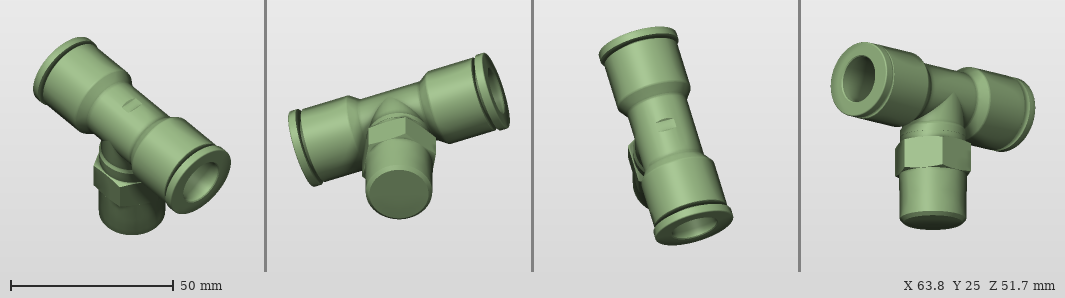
import cadquery as cq
import math


half_length = 31.9
waist_radius = 9.5
socket_radius = 11.75
socket_end_x = 28.0
socket_end_chamfer = 0.15
shoulder_outer_x = 13.13
shoulder_inner_x = 9.87
shoulder_fillet = 1.0
corner_reach = 0.1

collar_width = 25.0
collar_height = 23.2
collar_thickness = 2.5
collar_fillet = 0.4
neck_radius = 8.5

bore_radius = 7.2
bore_depth = half_length - shoulder_outer_x
bore_chamfer = 0.3

flat_depth = 0.46
flat_length = 3.0
flat_mouth_length = 4.06

branch_cone_top_z = -10.0
rim_radius = 10.2
rim_top_z = -10.95
rim_joint_z = -13.07
stem_radius = 10.1
hex_top_z = -15.0
hex_bottom_z = -25.0
hex_across_flats = 21.0
hex_chamfer_radius = 10.3
hex_chamfer_angle = 18.0
thread_top_radius = 10.48
thread_end_radius = 10.25
thread_chamfer_height = 1.1
thread_tip_radius = 9.1
branch_bottom_z = -39.95


def revolve_about_x(x_radius_points):
    """Turn an (x, radius) outline about the X axis."""
    return cq.Workplane("XY").polyline(x_radius_points).close().revolve(360, (0, 0, 0), (1, 0, 0))


def revolve_about_z(radius_z_points):
    """Turn a (radius, z) outline about the Z axis."""
    return cq.Workplane("XZ").polyline(radius_z_points).close().revolve(360, (0, 0, 0), (0, 1, 0))


def both_ends(shape):
    """A +X end shape together with its mirror image at the other end of the run."""
    return shape.union(shape.mirror("YZ"))


def make_run_body():
    """The waist and both sockets, without the collars."""
    right_half = [
        (shoulder_inner_x, waist_radius),
        (shoulder_outer_x, socket_radius),
        (socket_end_x, socket_radius),
        (socket_end_x, 0),
    ]
    left_half = [(-x, radius) for x, radius in reversed(right_half)]
    body = revolve_about_x(left_half + right_half)
    for corner_x in (-shoulder_outer_x, -shoulder_inner_x, shoulder_inner_x, shoulder_outer_x):
        around_corner = cq.selectors.BoxSelector(
            (corner_x - corner_reach, -socket_radius, -socket_radius),
            (corner_x + corner_reach, socket_radius, socket_radius),
        )
        body = body.edges("%CIRCLE").edges(around_corner).fillet(shoulder_fillet)
    return body.faces("<X or >X").edges().chamfer(socket_end_chamfer)


def make_collar():
    """The oval collar and its round neck at the +X end."""
    collar = (
        cq.Workplane("YZ")
        .workplane(offset=half_length - collar_thickness)
        .ellipse(collar_width / 2, collar_height / 2)
        .extrude(collar_thickness)
        .faces(">X")
        .edges()
        .fillet(collar_fillet)
    )
    neck = (
        cq.Workplane("YZ")
        .workplane(offset=socket_end_x)
        .circle(neck_radius)
        .extrude(half_length - collar_thickness - socket_end_x)
    )
    return collar.union(neck)


def make_bore():
    """Cutter for the +X tube bore and the chamfer at its mouth."""
    bottom_x = half_length - bore_depth
    mouth_radius = bore_radius + bore_chamfer
    outline = [
        (bottom_x, 0),
        (bottom_x, bore_radius),
        (half_length - bore_chamfer, bore_radius),
        (half_length, mouth_radius),
        (half_length, 0),
    ]
    return revolve_about_x(outline)


def make_flat():
    """Cutter for the pocket on top of the waist, with sloped ends."""
    floor_z = waist_radius - flat_depth
    outline = [
        (-flat_length / 2, floor_z),
        (flat_length / 2, floor_z),
        (flat_mouth_length / 2, waist_radius),
        (-flat_mouth_length / 2, waist_radius),
    ]
    return cq.Workplane("XZ").polyline(outline).close().extrude(waist_radius, both=True)


def make_stem():
    """The round branch between the waist and the hexagon."""
    outline = [
        (0, 0),
        (waist_radius, 0),
        (waist_radius, branch_cone_top_z),
        (rim_radius, rim_top_z),
        (rim_radius, rim_joint_z),
        (stem_radius, rim_joint_z),
        (stem_radius, hex_top_z),
        (0, hex_top_z),
    ]
    return revolve_about_z(outline)


def make_hexagon():
    """The hexagon, flats facing +Y and -Y, with its corners turned off at both ends."""
    corner_radius = hex_across_flats / math.sqrt(3)
    drop = (corner_radius - hex_chamfer_radius) * math.tan(math.radians(hex_chamfer_angle))
    prism = (
        cq.Workplane("XY")
        .workplane(offset=hex_bottom_z)
        .polygon(6, 2 * corner_radius)
        .extrude(hex_top_z - hex_bottom_z)
    )
    turned = [
        (0, hex_bottom_z),
        (hex_chamfer_radius, hex_bottom_z),
        (corner_radius, hex_bottom_z + drop),
        (corner_radius, hex_top_z - drop),
        (hex_chamfer_radius, hex_top_z),
        (0, hex_top_z),
    ]
    return prism.intersect(revolve_about_z(turned))


def make_thread():
    """The plain tapered thread body with a chamfered tip."""
    outline = [
        (0, hex_bottom_z),
        (thread_top_radius, hex_bottom_z),
        (thread_end_radius, branch_bottom_z + thread_chamfer_height),
        (thread_tip_radius, branch_bottom_z),
        (0, branch_bottom_z),
    ]
    return revolve_about_z(outline)


run = make_run_body().union(both_ends(make_collar()))
branch = make_stem().union(make_hexagon()).union(make_thread())
result = run.union(branch).cut(both_ends(make_bore())).cut(make_flat())